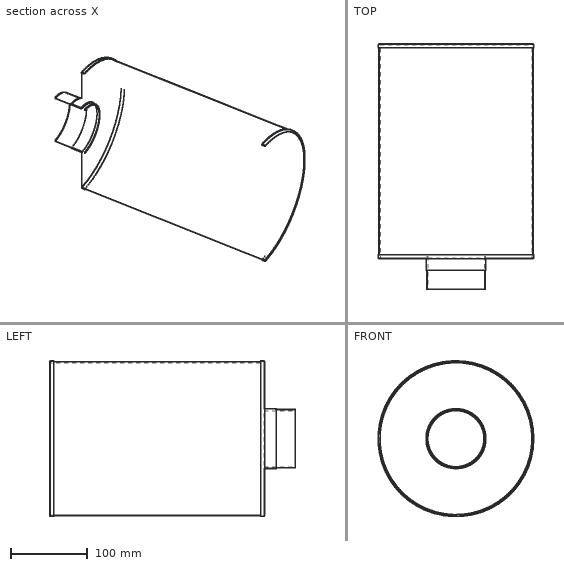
import cadquery as cq

total_length = 320.0
spout_length = 40.0
collar_length = 15.0

shell_diameter = 201.0
shell_bore_diameter = 198.0

cap_diameter = 203.0
cap_length = 5.0
cap_edge_radius = 2.0
sheet_thickness = (cap_diameter - shell_diameter) / 2

tube_diameter = 76.2
tube_bore_diameter = 73.3
collar_diameter = tube_diameter + 2 * sheet_thickness

mouth_y = -total_length / 2
back_y = total_length / 2
front_y = mouth_y + spout_length
tube_end_y = front_y + cap_length


def cylinder(diameter, start_y, end_y):
    """Solid cylinder on the Y axis between two Y positions."""
    length = end_y - start_y
    return cq.Workplane("XZ", origin=(0, start_y, 0)).circle(diameter / 2).extrude(-length)


def end_cap(start_y, outer_face):
    """Cap disc, slightly wider than the shell and rounded at its outward edge."""
    cap = cylinder(cap_diameter, start_y, start_y + cap_length)
    return cap.faces(outer_face).edges().fillet(cap_edge_radius)


shell = cylinder(shell_diameter, front_y + cap_length, back_y - cap_length)
front_cap = end_cap(front_y, "<Y")
back_cap = end_cap(back_y - cap_length, ">Y")
cavity = cylinder(shell_bore_diameter, front_y + sheet_thickness, back_y - sheet_thickness)
canister = shell.union(front_cap).union(back_cap).cut(cavity)

collar = cylinder(collar_diameter, front_y - collar_length, front_y)
tube = cylinder(tube_diameter, mouth_y, tube_end_y)
tube_bore = cylinder(tube_bore_diameter, mouth_y, tube_end_y)

result = canister.union(collar).union(tube).cut(tube_bore)